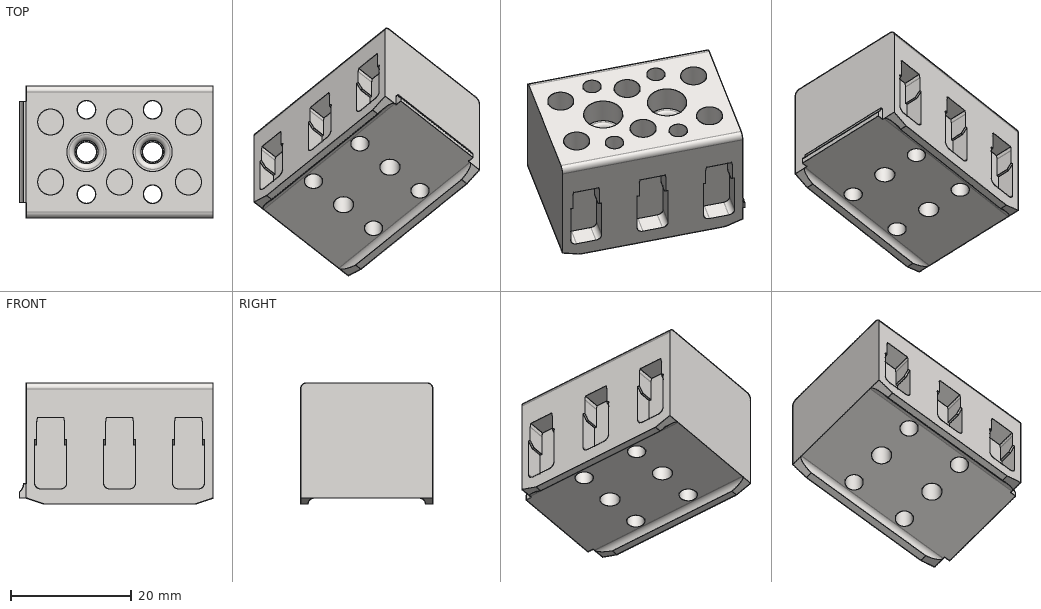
import cadquery as cq
import math

TOTAL_LENGTH = 32.15
LIP_REACH = 1.1
LENGTH = TOTAL_LENGTH - LIP_REACH
WIDTH = 22.0
HEIGHT = 20.15
TOP_EDGE_RADIUS = 1.0

FOOT_HEIGHT = 1.0
END_SLOPE_LENGTH = 3.0
FOOT_WIDTH = 1.25

LIP_WIDTH = 16.85
LIP_TOP = 3.4
LIP_NOSE_TOP = 2.03
LIP_TOP_THICKNESS = 0.42
LIP_SAG = 0.15

TERMINAL_PITCH = 11.45
POCKET_DEPTH = 3.15
POCKET_BOTTOM = 2.55
POCKET_TOP = 14.4
POCKET_WIDTH = 5.35
POCKET_CORNER_RADIUS = 1.0
POCKET_NECK_WIDTH = 4.63
POCKET_TIP_WIDTH = 4.35
POCKET_TIP_HEIGHT = 0.7
SHOULDER_FACE_Z = 10.77
SHOULDER_INNER_Z = 9.85
SHOULDER_SLOPE_DEPTH = 1.0

TERMINAL_DIAMETER = 4.3
TERMINAL_ROW_SPACING = 9.97
TERMINAL_DEPTH = HEIGHT - POCKET_TOP

MOUNTING_PITCH = 11.0
COUNTERBORE_DIAMETER = 6.5
COUNTERBORE_DEPTH = 4.5
SEAT_BORE_DIAMETER = 3.85
SEAT_EDGE_RADIUS = 0.95
MOUNTING_DIAMETER = 3.35
SIDE_HOLE_DIAMETER = 3.02
SIDE_HOLE_ROW_SPACING = 14.02

TERMINAL_XS = [i * TERMINAL_PITCH for i in (-1, 0, 1)]
MOUNTING_XS = [i * MOUNTING_PITCH / 2 for i in (-1, 1)]


def make_block():
    half_length = LENGTH / 2
    slope_start = half_length - END_SLOPE_LENGTH
    side_profile = [
        (-half_length, HEIGHT),
        (-half_length, FOOT_HEIGHT),
        (-slope_start, 0),
        (slope_start, 0),
        (half_length, FOOT_HEIGHT),
        (half_length, HEIGHT),
    ]
    block = cq.Workplane("XZ").polyline(side_profile).close().extrude(WIDTH / 2, both=True)
    return block.faces(">Z").edges("|X").fillet(TOP_EDGE_RADIUS)


def make_channel():
    """Shallow channel whose sides are quarter rounds as high as the feet."""
    radius = FOOT_HEIGHT
    half_opening = WIDTH / 2 - FOOT_WIDTH
    half_roof = half_opening - radius
    diagonal = radius * math.sqrt(0.5)
    return (
        cq.Workplane("YZ")
        .moveTo(-half_opening, 0)
        .threePointArc((-half_roof - diagonal, diagonal), (-half_roof, radius))
        .lineTo(half_roof, radius)
        .threePointArc((half_roof + diagonal, diagonal), (half_opening, 0))
        .close()
        .extrude(LENGTH / 2, both=True)
    )


def make_lip():
    end_x = -LENGTH / 2
    nose_x = end_x - LIP_REACH
    top_x = end_x - LIP_TOP_THICKNESS
    return (
        cq.Workplane("XZ")
        .moveTo(end_x, FOOT_HEIGHT)
        .lineTo(nose_x, FOOT_HEIGHT)
        .lineTo(nose_x, LIP_NOSE_TOP)
        .sagittaArc((top_x, LIP_TOP), -LIP_SAG)
        .lineTo(end_x, LIP_TOP)
        .close()
        .extrude(LIP_WIDTH / 2, both=True)
    )


def make_pocket():
    """Pocket cut into the -Y side at X = 0: a narrow neck above a wider mouth."""
    face_y = -WIDTH / 2
    inner_y = face_y + POCKET_DEPTH
    half_neck = POCKET_NECK_WIDTH / 2
    half_tip = POCKET_TIP_WIDTH / 2
    tip_start = POCKET_TOP - POCKET_TIP_HEIGHT
    neck_profile = [
        (-half_neck, SHOULDER_INNER_Z),
        (half_neck, SHOULDER_INNER_Z),
        (half_neck, tip_start),
        (half_tip, POCKET_TOP),
        (-half_tip, POCKET_TOP),
        (-half_neck, tip_start),
    ]
    neck = (
        cq.Workplane("XZ", origin=(0, face_y, 0))
        .polyline(neck_profile)
        .close()
        .extrude(-POCKET_DEPTH)
    )
    mouth_profile = [
        (face_y, POCKET_BOTTOM),
        (inner_y, POCKET_BOTTOM),
        (inner_y, SHOULDER_INNER_Z),
        (face_y + SHOULDER_SLOPE_DEPTH, SHOULDER_INNER_Z),
        (face_y, SHOULDER_FACE_Z),
    ]
    mouth = cq.Workplane("YZ").polyline(mouth_profile).close().extrude(POCKET_WIDTH / 2, both=True)
    mouth = mouth.faces("<Z").edges("|Y").fillet(POCKET_CORNER_RADIUS)
    return mouth.union(neck)


def make_mounting_hole():
    """Stepped hole on the Z axis: counterbore, rounded screw seat and through hole."""
    bore_radius = SEAT_BORE_DIAMETER / 2
    seat_z = HEIGHT - COUNTERBORE_DEPTH
    round_end_z = seat_z - SEAT_EDGE_RADIUS
    round_centre_x = bore_radius + SEAT_EDGE_RADIUS
    diagonal = SEAT_EDGE_RADIUS * math.sqrt(0.5)
    return (
        cq.Workplane("XZ")
        .moveTo(0, 0)
        .lineTo(MOUNTING_DIAMETER / 2, 0)
        .lineTo(MOUNTING_DIAMETER / 2, round_end_z)
        .lineTo(bore_radius, round_end_z)
        .threePointArc((round_centre_x - diagonal, round_end_z + diagonal), (round_centre_x, seat_z))
        .lineTo(COUNTERBORE_DIAMETER / 2, seat_z)
        .lineTo(COUNTERBORE_DIAMETER / 2, HEIGHT)
        .lineTo(0, HEIGHT)
        .close()
        .revolve(360, (0, 0, 0), (0, 1, 0))
    )


def make_hole_rows(xs, row_spacing, diameter, depth):
    """Plain holes from the top face, in two rows either side of the middle plane."""
    points = [(x, side * row_spacing / 2) for x in xs for side in (-1, 1)]
    top = cq.Workplane("XY", origin=(0, 0, HEIGHT))
    return top.pushPoints(points).circle(diameter / 2).extrude(-depth)


result = make_block().cut(make_channel()).union(make_lip())

pocket = make_pocket()
for x in TERMINAL_XS:
    front_pocket = pocket.translate((x, 0, 0))
    result = result.cut(front_pocket).cut(front_pocket.mirror("XZ"))

mounting_hole = make_mounting_hole()
for x in MOUNTING_XS:
    result = result.cut(mounting_hole.translate((x, 0, 0)))

result = result.cut(make_hole_rows(TERMINAL_XS, TERMINAL_ROW_SPACING, TERMINAL_DIAMETER, TERMINAL_DEPTH))
result = result.cut(make_hole_rows(MOUNTING_XS, SIDE_HOLE_ROW_SPACING, SIDE_HOLE_DIAMETER, HEIGHT))